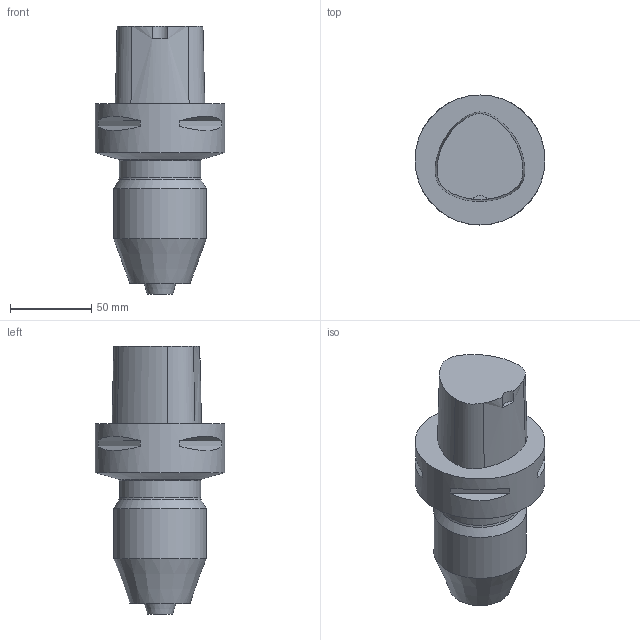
import cadquery as cq
import math


shank_height = 48.0
shank_base_width = 55.1
shank_tip_width = 52.9
lobe_eccentricity = 2.0
flat_half_span = 27.5
points_per_side = 9
flat_count = 3

notch_radius = 6.0
notch_depth = 8.0
notch_bottom_y = -22.0

flange_diameter = 80.0
flange_height = 30.0
groove_count = 4
groove_center_z = -12.0
groove_floor_height = 3.5
groove_depth = 4.5
groove_wall_angle = 30.0

neck_diameter = 50.0
neck_top_z = -34.25
neck_bottom_z = -46.2
neck_top_fillet = 1.0
neck_bottom_fillet = 2.5
body_diameter = 57.0
body_top_z = -52.2
body_bottom_z = -83.0
body_tip_diameter = 37.0
body_tip_z = -110.6
nose_top_diameter = 19.6
nose_tip_diameter = 15.8
nose_tip_z = -117.0


def polygon_point(width, normal_angle):
    """Shank outline point whose normal is normal_angle degrees away from the -Y flat."""
    g = math.radians(normal_angle)
    e = lobe_eccentricity
    along = width / 2 * math.cos(g) - 2 * e * math.cos(2 * g) + e * math.cos(4 * g)
    across = width / 2 * math.sin(g) + 2 * e * math.sin(2 * g) + e * math.sin(4 * g)
    return (across, -along)


def normal_tangent(normal_angle):
    """Outline direction at a point with the given surface-normal angle."""
    g = math.radians(normal_angle)
    return cq.Vector(math.cos(g), math.sin(g), 0)


def polygon_side(width, z, start, end):
    """One spline of the outline between two surface-normal angles."""
    step = (end - start) / (points_per_side - 1)
    points = [
        cq.Vector(*polygon_point(width, start + i * step), z)
        for i in range(points_per_side)
    ]
    return cq.Edge.makeSpline(points, tangents=[normal_tangent(start), normal_tangent(end)])


def polygon_wire(width, z):
    """Closed outline of alternating flats and lobes at height z."""
    pitch = 360 / flat_count
    edges = []
    for i in range(flat_count):
        middle = i * pitch
        flat_end = middle + flat_half_span
        next_flat = middle + pitch - flat_half_span
        edges.append(polygon_side(width, z, middle - flat_half_span, flat_end))
        edges.append(polygon_side(width, z, flat_end, next_flat))
    return cq.Wire.assembleEdges(edges)


def make_shank():
    base = polygon_wire(shank_base_width, 0)
    tip = polygon_wire(shank_tip_width, shank_height)
    shank = cq.Workplane(cq.Solid.makeLoft([base, tip], True))
    notch = (
        cq.Workplane("XY", origin=(0, notch_bottom_y - notch_radius, shank_height - notch_depth))
        .circle(notch_radius)
        .extrude(notch_depth)
    )
    return shank.cut(notch)


def neck_edge(z):
    """Selector for the neck's circular corner at height z."""
    reach = neck_diameter / 2 + neck_top_fillet
    margin = neck_top_fillet / 2
    return cq.selectors.BoxSelector((-reach, -reach, z - margin), (reach, reach, z + margin))


def make_turned_body():
    """Flange, neck, chuck body and nose revolved about Z, with both neck corners rounded."""
    profile = [
        (0, 0),
        (flange_diameter / 2, 0),
        (flange_diameter / 2, -flange_height),
        (neck_diameter / 2, neck_top_z),
        (neck_diameter / 2, neck_bottom_z),
        (body_diameter / 2, body_top_z),
        (body_diameter / 2, body_bottom_z),
        (body_tip_diameter / 2, body_tip_z),
        (nose_top_diameter / 2, body_tip_z),
        (nose_tip_diameter / 2, nose_tip_z),
        (0, nose_tip_z),
    ]
    body = cq.Workplane("XZ").polyline(profile).close().revolve(360, (0, 0), (0, 1))
    body = body.edges(neck_edge(neck_top_z)).edges("%CIRCLE").fillet(neck_top_fillet)
    return body.edges(neck_edge(neck_bottom_z)).edges("%CIRCLE").fillet(neck_bottom_fillet)


def make_groove(angle):
    """Straight trapezoidal groove cutter whose floor faces the given direction about Z."""
    rim = flange_diameter / 2
    floor = rim - groove_depth
    half_floor = groove_floor_height / 2
    half_mouth = half_floor + groove_depth * math.tan(math.radians(groove_wall_angle))
    section = [
        (floor, groove_center_z - half_floor),
        (rim, groove_center_z - half_mouth),
        (rim, groove_center_z + half_mouth),
        (floor, groove_center_z + half_floor),
    ]
    cutter = cq.Workplane("XZ").polyline(section).close().extrude(rim, both=True)
    return cutter.rotate((0, 0, 0), (0, 0, 1), angle)


result = make_turned_body().union(make_shank())
groove_pitch = 360 / groove_count
for groove_index in range(groove_count):
    result = result.cut(make_groove((groove_index + 0.5) * groove_pitch))